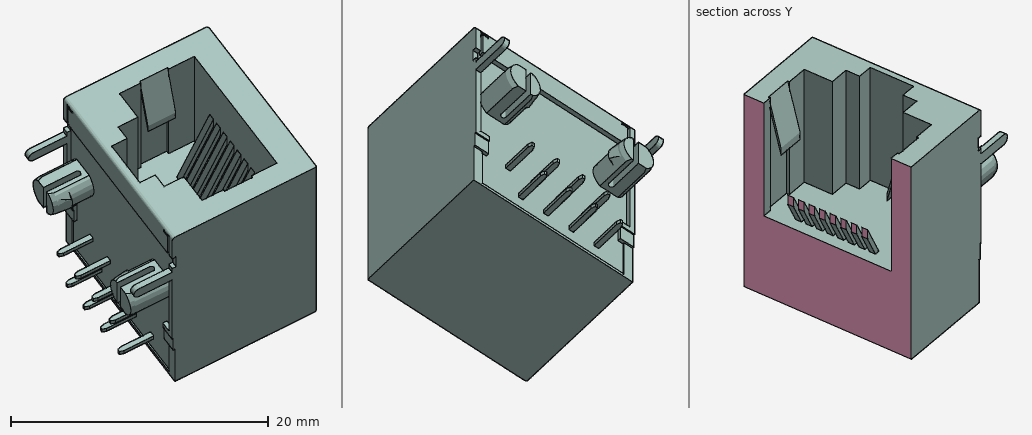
import cadquery as cq


width = 16.0
height = 18.7
overall_depth = 16.8
prong_reach = 3.5
body_depth = overall_depth - prong_reach
half_width = width / 2
edge_radius = 0.3

insert_recess = 0.37
side_sheet = 0.5
frame_side = 0.88
frame_bottom = 0.32
lower_step = 0.25
tab_step = 0.1
tab_width = 1.38
tab_bottom = 4.15
tab_bend = 5.65
tab_top = 6.19
notch_bottom = 14.81
notch_top = 16.05
notch_depth = 0.35

flap_half_width = 7.3
flap_relief_bottom = 18.2
flap_relief_top = 18.36
flap_relief_half_width = 6.71
flap_gap_top = height - edge_radius

floor_z = 7.75
opening_back = 10.75
wide_half, wide_front = 6.08, 3.93
middle_half, middle_front = 3.38, 2.13
latch_half, latch_front = 2.08, 0.73

spring_front, spring_back = 5.89, 8.42
spring_slot_half = 6.25
spring_tip_half = 5.05
spring_tip_z = 14.21
spring_edge_height = 0.65
spring_root = 0.19
spring_pocket_half = 6.35

contact_count = 8
contact_pitch = 1.01
contact_width = 0.56
contact_top = 13.76
contact_slope = 2.0
contact_height = 0.94

post_x = 5.7
post_z = 10.75
post_radius = 1.59
post_flat_height = 2.62
post_reach = 3.27
post_taper_length = 0.43
post_taper = 0.1
post_slot_x = 5.42
post_slot_width = 0.49
post_slot_start = 0.05
barb_radius = 1.75
barb_start = 1.68
barb_height = 1.9
barb_bevel_start = 1.27
barb_face_height = 0.86

prong_z = 13.84
prong_height = 1.0

pin_pitch = 1.27
pins_per_row = 4
upper_row_z = 4.38
lower_row_z = 1.85
pin_width = 0.47
pin_height = 0.4
pin_tip_width = 0.22
pin_reach = 2.7
pin_taper = 0.35


def block(x0, x1, y0, y1, z0, z1):
    """Box given by its limits along each axis."""
    return cq.Workplane("XY").box(x1 - x0, y1 - y0, z1 - z0, centered=False).translate((x0, y0, z0))


def both_sides(shape):
    """The shape together with its mirror image across the middle plane."""
    return shape.union(shape.mirror("YZ"))


def make_shell():
    shell = block(-half_width, half_width, 0, body_depth, 0, height)
    shell = shell.edges(">Y").fillet(edge_radius)
    shell = shell.edges("<Y and >Z").fillet(edge_radius)

    shell = shell.cut(block(-half_width, half_width, 0, lower_step, 0, tab_bottom))
    shell = shell.cut(block(-half_width, half_width, 0, tab_step, tab_bottom, tab_bend))

    sheet_inner = half_width - side_sheet
    tab_inner = half_width - tab_width
    frame_inner = half_width - frame_side
    shell = shell.cut(block(-frame_inner, frame_inner, 0, insert_recess, frame_bottom, tab_bottom))
    shell = shell.cut(block(-tab_inner, tab_inner, 0, insert_recess, tab_bottom, tab_top))
    shell = shell.cut(block(-sheet_inner, sheet_inner, 0, insert_recess, tab_top, notch_top))

    gap = block(flap_half_width, sheet_inner, 0, insert_recess, notch_top, flap_gap_top)
    relief = block(flap_relief_half_width, sheet_inner, 0, insert_recess, flap_relief_bottom, flap_relief_top)
    notch = block(sheet_inner, half_width, 0, notch_depth, notch_bottom, notch_top)
    return shell.cut(both_sides(gap.union(relief).union(notch)))


def make_opening():
    steps = [
        (wide_half, wide_front),
        (middle_half, middle_front),
        (latch_half, latch_front),
    ]
    slot_half, pocket_half = spring_slot_half, spring_pocket_half
    pocket_top = height - spring_edge_height
    opening = block(-slot_half, slot_half, spring_front, spring_back, floor_z, height)
    opening = opening.union(block(-pocket_half, pocket_half, spring_front, spring_back, floor_z, pocket_top))
    for half, front in steps:
        opening = opening.union(block(-half, half, front, opening_back, floor_z, height))
    return opening


def make_springs():
    root_half = spring_slot_half + spring_root
    root_rise = spring_root * (height - spring_tip_z) / (spring_slot_half - spring_tip_half)
    spring = (
        cq.Workplane("XZ", origin=(0, spring_back, 0))
        .moveTo(spring_slot_half, height)
        .lineTo(spring_tip_half, spring_tip_z)
        .lineTo(spring_tip_half, spring_tip_z - spring_edge_height)
        .lineTo(root_half, height - spring_edge_height + root_rise)
        .lineTo(root_half, height)
        .close()
        .extrude(spring_back - spring_front)
    )
    return both_sides(spring)


def make_contacts():
    end_y = opening_back - (contact_top - floor_z) / contact_slope
    floor_y = end_y + contact_height / contact_slope
    profile = (
        cq.Workplane("YZ")
        .moveTo(opening_back, contact_top)
        .lineTo(end_y, floor_z)
        .lineTo(floor_y, floor_z)
        .lineTo(opening_back, contact_top - contact_height)
        .close()
        .extrude(contact_width / 2, both=True)
    )
    contacts = cq.Workplane("XY")
    for i in range(contact_count):
        x = (i - (contact_count - 1) / 2) * contact_pitch
        contacts = contacts.union(profile.translate((x, 0, 0)))
    return contacts


def make_post():
    """Right-hand locating post: a slit pin with two flats and a barb facing the middle."""
    root = insert_recess
    pin = (
        cq.Workplane("XY")
        .polyline([
            (0, root),
            (post_radius, root),
            (post_radius, post_taper_length - post_reach),
            (post_radius - post_taper, -post_reach),
            (0, -post_reach),
        ])
        .close()
        .revolve(360, (0, 0), (0, 1))
    )
    barb = (
        cq.Workplane("XY")
        .polyline([
            (0, -barb_start),
            (barb_radius, -barb_start),
            (post_radius - post_taper, -post_reach),
            (0, -post_reach),
        ])
        .close()
        .revolve(360, (0, 0), (0, 1))
    )
    barb_band = (
        cq.Workplane("XZ")
        .polyline([
            (0, -barb_height / 2),
            (-barb_bevel_start, -barb_height / 2),
            (-barb_radius, -barb_face_height / 2),
            (-barb_radius, barb_face_height / 2),
            (-barb_bevel_start, barb_height / 2),
            (0, barb_height / 2),
        ])
        .close()
        .extrude(post_reach)
    )
    barb = barb.intersect(barb_band)
    half_flat = post_flat_height / 2
    pin = pin.intersect(block(-post_radius, post_radius, -post_reach, root, -half_flat, half_flat))
    post = pin.union(barb).translate((post_x, 0, post_z))

    slot_radius = post_slot_width / 2
    slot_end = -post_slot_start - slot_radius
    slot_bottom = post_z - half_flat
    slot_top = post_z + half_flat
    slot_left = post_slot_x - slot_radius
    slot_right = post_slot_x + slot_radius
    slot = block(slot_left, slot_right, -post_reach, slot_end, slot_bottom, slot_top)
    slot_round = (
        cq.Workplane("XY", origin=(post_slot_x, slot_end, slot_bottom))
        .circle(slot_radius)
        .extrude(post_flat_height)
    )
    return post.cut(slot).cut(slot_round)


def make_prong():
    """Right-hand ground prong with a fully rounded tip."""
    radius = prong_height / 2
    round_y = radius - prong_reach
    return (
        cq.Workplane("YZ", origin=(half_width - side_sheet, 0, 0))
        .moveTo(insert_recess, prong_z - radius)
        .lineTo(round_y, prong_z - radius)
        .threePointArc((-prong_reach, prong_z), (round_y, prong_z + radius))
        .lineTo(insert_recess, prong_z + radius)
        .close()
        .extrude(side_sheet)
    )


def make_pins():
    half = pin_width / 2
    half_tip = pin_tip_width / 2
    taper_y = pin_taper - pin_reach
    pin = (
        cq.Workplane("XY")
        .polyline([
            (-half, insert_recess),
            (-half, taper_y),
            (-half_tip, -pin_reach),
            (half_tip, -pin_reach),
            (half, taper_y),
            (half, insert_recess),
        ])
        .close()
        .extrude(pin_height / 2, both=True)
    )
    pins = cq.Workplane("XY")
    for i in range(pins_per_row):
        x = (2 * i - pins_per_row + 0.5) * pin_pitch
        pins = pins.union(pin.translate((x, 0, upper_row_z)))
        pins = pins.union(pin.translate((-x, 0, lower_row_z)))
    return pins


result = make_shell().cut(make_opening())
result = result.union(make_springs()).union(make_contacts())
result = result.union(both_sides(make_post())).union(both_sides(make_prong())).union(make_pins())